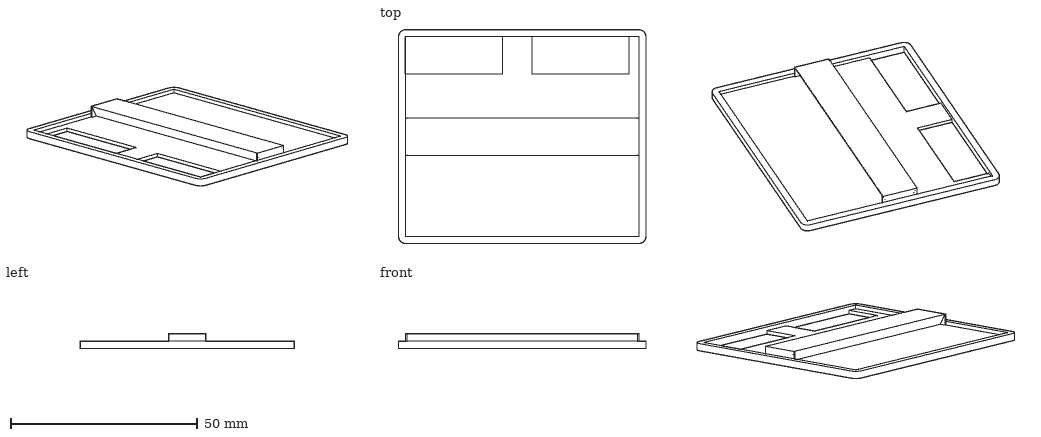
import math

import cadquery as cq

length = 66.5
width = 57.5
rim_height = 2.0
rim_width = 1.9
corner_radius = 2.0
floor_thickness = 1.0
pocket_length = length - 2 * rim_width
pocket_width = width - 2 * rim_width

window_length = 26.0
window_width = 10.0
window_gap = 8.0
window_count = 2
window_pitch = window_length + window_gap

total_height = 4.0
bar_width = 10.0
end_plate_thickness = 0.35
undercut_angle = 30.0
bar_height = total_height - floor_thickness
undercut = bar_height * math.tan(math.radians(undercut_angle))


def make_tray():
    """Rounded plate with a sharp-cornered pocket in its top."""
    plate = cq.Workplane("XY").box(length, width, rim_height, centered=(True, True, False))
    plate = plate.edges("|Z").fillet(corner_radius)
    pocket = cq.Workplane("XY", origin=(0, 0, floor_thickness)).box(
        pocket_length, pocket_width, rim_height, centered=(True, True, False)
    )
    return plate.cut(pocket)


def make_window(left_edge):
    """Cutter for one floor window, flush with the +Y pocket wall."""
    bottom_edge = pocket_width / 2 - window_width
    return cq.Workplane("XY", origin=(left_edge, bottom_edge, 0)).box(
        window_length, window_width, floor_thickness, centered=False
    )


def make_crossbar():
    """Bar across the pocket, narrowing towards the floor between its two end plates."""
    bar = cq.Workplane("XY", origin=(0, 0, floor_thickness)).box(
        pocket_length, bar_width, bar_height, centered=(True, True, False)
    )
    span = pocket_length - 2 * end_plate_thickness
    for side in (-1, 1):
        outer = side * bar_width / 2
        wedge = (
            cq.Workplane("YZ", origin=(-span / 2, 0, 0))
            .polyline([
                (outer, total_height),
                (outer, floor_thickness),
                (outer - side * undercut, floor_thickness),
            ])
            .close()
            .extrude(span)
        )
        bar = bar.cut(wedge)
    return bar


result = make_tray()
for index in range(window_count):
    result = result.cut(make_window(-pocket_length / 2 + index * window_pitch))
result = result.union(make_crossbar())